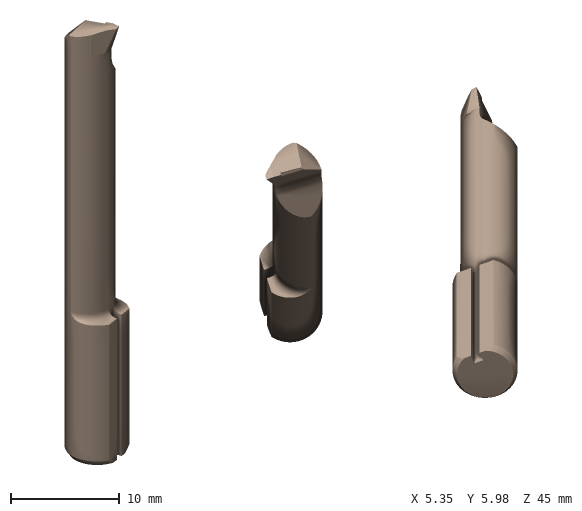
import cadquery as cq
import math

length = 45.0
shank_radius = 2.992
flat_x = 2.362
bottom_chamfer_height = 0.6
bottom_chamfer_inset = 0.4

groove_width = 0.85
groove_floor_x = 1.5

neck_radius = 2.75
neck_center_x = -1.2
neck_right_x = neck_center_x + neck_radius
neck_start_z = 15.5
neck_fillet = 0.75

rake_y = 0.1
rake_end_z = 41.5
runout_radius = 1.8

tooth_inner_x = 0.6
tooth_bottom_z = 42.35
tooth_root_z = 42.5
tooth_bottom_outer_x = 1.4
tooth_tip_x = 2.25
tooth_corner_z = 44.75
tooth_relief_y = -0.4
tooth_heel_y = -2.1

peak_x = 1.6
nose_slope = -0.2
ridge_x = -1.12
ridge_z = 44.75
top_relief = 0.19
bevel_slope = math.tan(math.radians(45))
bevel_relief = 0.08

rake_bevel_size = 0.22
rake_bevel_end_x = 0.9

margin = 4.5


def prism_along_y(points, start_y, end_y):
    base = cq.Workplane("XZ", origin=(0, end_y, 0))
    return base.polyline(points).close().extrude(end_y - start_y)


def make_shank():
    """Chamfered bar with a side flat and the coolant groove."""
    bar = cq.Workplane("XY").circle(shank_radius).extrude(length)
    bar = bar.faces("<Z").chamfer(bottom_chamfer_height, bottom_chamfer_inset)
    flat = cq.Workplane("XY").box(margin, 2 * margin, length, centered=(False, True, False))
    groove = cq.Workplane("XY").box(margin, groove_width, length, centered=(False, True, False))
    bar = bar.cut(flat.translate((flat_x, 0, 0)))
    return bar.cut(groove.translate((groove_floor_x, 0, 0)))


def make_neck_envelope():
    """Revolved envelope: open around the shank, blended in to the neck radius."""
    outer_radius = neck_radius + neck_fillet
    shoulder_z = neck_start_z - neck_fillet
    wide_radius = 2 * margin
    arc_offset = neck_fillet * (1 - math.sqrt(0.5))
    profile = (
        cq.Workplane("XZ", origin=(neck_center_x, 0, 0))
        .lineTo(wide_radius, 0)
        .lineTo(wide_radius, shoulder_z)
        .lineTo(outer_radius, shoulder_z)
        .threePointArc((neck_radius + arc_offset, shoulder_z + arc_offset), (neck_radius, neck_start_z))
        .lineTo(neck_radius, length)
        .lineTo(0, length)
        .close()
    )
    return profile.revolve(360, (0, 0, 0), (0, 1, 0))


def make_tooth():
    """Tooth profile trimmed by the upright relief plane that meets the neck."""
    profile = [
        (neck_center_x, length),
        (neck_center_x, tooth_bottom_z),
        (tooth_bottom_outer_x, tooth_bottom_z),
        (neck_right_x, tooth_root_z),
        (tooth_tip_x, tooth_corner_z),
        (tooth_tip_x, length),
    ]
    plan = [
        (neck_center_x, rake_y),
        (neck_center_x, tooth_heel_y),
        (tooth_inner_x, tooth_heel_y),
        (tooth_tip_x, tooth_relief_y),
        (tooth_tip_x, rake_y),
    ]
    outline = cq.Workplane("XY").polyline(plan).close().extrude(length)
    return prism_along_y(profile, -margin, margin).intersect(outline)


def make_rake_cutter():
    """Material on the +Y side of the rake face and above its runout."""
    bend_y = rake_y + runout_radius * (1 - math.sqrt(0.5))
    bend_z = rake_end_z - runout_radius * math.sqrt(0.5)
    mid_angle = math.radians(22.5)
    mid_y = rake_y + runout_radius * (1 - math.cos(mid_angle))
    mid_z = rake_end_z - runout_radius * math.sin(mid_angle)
    far_y = bend_y + margin
    return (
        cq.Workplane("YZ", origin=(-margin, 0, 0))
        .moveTo(rake_y, length)
        .lineTo(rake_y, rake_end_z)
        .threePointArc((mid_y, mid_z), (bend_y, bend_z))
        .lineTo(far_y, bend_z - margin)
        .lineTo(far_y, length)
        .close()
        .extrude(2 * margin)
    )


def space_above(edge_x, edge_z, slope_x, slope_y):
    """Space above a plane through a point of the rake face edge, with the given Z slopes."""
    plane = cq.Plane(
        origin=(edge_x, rake_y, edge_z),
        xDir=(1, 0, slope_x),
        normal=(-slope_x, -slope_y, 1),
    )
    return cq.Workplane(plane).rect(4 * margin, 4 * margin).extrude(2 * margin)


def make_rake_bevel():
    """Triangular strip along the top edge of the rake face, behind the tooth."""
    corner = [
        (rake_y, ridge_z - rake_bevel_size),
        (rake_y - rake_bevel_size, ridge_z),
        (rake_y - rake_bevel_size, length),
        (rake_y, length),
    ]
    base = cq.Workplane("YZ", origin=(-shank_radius, 0, 0))
    return base.polyline(corner).close().extrude(shank_radius + rake_bevel_end_x)


top_slope = (length - ridge_z) / (peak_x - ridge_x)

result = make_shank().intersect(make_neck_envelope())
result = result.union(make_tooth())
result = result.cut(make_rake_cutter())
result = result.cut(space_above(ridge_x, ridge_z, top_slope, top_relief))
result = result.cut(space_above(ridge_x, ridge_z, bevel_slope, bevel_relief))
result = result.cut(space_above(peak_x, length, nose_slope, top_relief))
result = result.cut(make_rake_bevel())